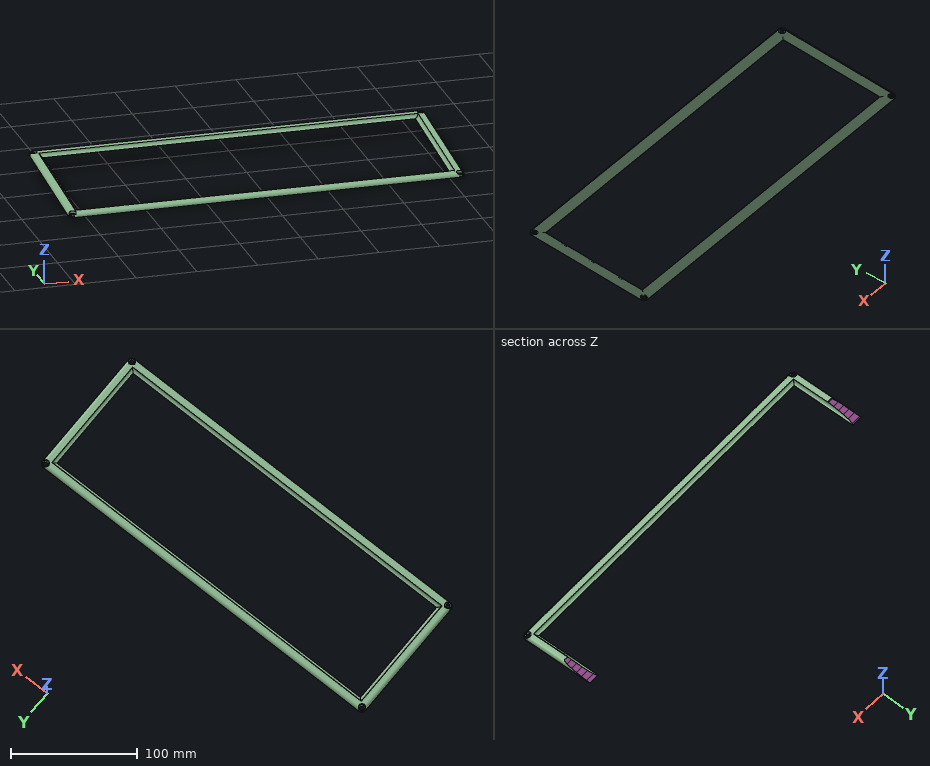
import cadquery as cq
import math

length = 326.2
depth_in_plan = 116.5
tilt = 6.0

thickness = 3.1
bar_width = 10.0
edge_round = 3.03
corner_radius = 4.0
cove_radius = 3.03

hole_diameter = 3.3
seat_diameter = 5.5
seat_depth = 2.3
hole_inset = 3.5

width = depth_in_plan / math.cos(math.radians(tilt))
opening_length = length - 2 * bar_width
opening_width = width - 2 * bar_width


def frame_blank():
    """Plate with rounded corners and a rounded outer top edge."""
    plate = cq.Workplane("XY").rect(length, width).extrude(thickness)
    plate = plate.edges("|Z").fillet(corner_radius)
    return plate.faces(">Z").edges().fillet(edge_round)


def coved_opening():
    """Solid filling the opening, widening upwards along a concave cove with mitred corners."""
    core = cq.Workplane("XY").rect(opening_length, opening_width).extrude(thickness)
    top_length = opening_length + 2 * cove_radius
    top_width = opening_width + 2 * cove_radius
    flare = (
        cq.Workplane("XY", origin=(0, 0, thickness - cove_radius))
        .rect(top_length, top_width)
        .extrude(2 * cove_radius)
        .faces("<Z")
        .edges()
        .fillet(cove_radius)
    )
    return core.union(flare)


def corner_holes():
    """Stepped screw holes through the four corners."""
    spacing = (length - 2 * hole_inset, width - 2 * hole_inset)
    bores = cq.Workplane("XY").rect(*spacing, forConstruction=True).vertices()
    bores = bores.circle(hole_diameter / 2).extrude(thickness)
    seats = cq.Workplane("XY", origin=(0, 0, thickness - seat_depth))
    seats = seats.rect(*spacing, forConstruction=True).vertices()
    return bores.union(seats.circle(seat_diameter / 2).extrude(seat_depth))


frame = frame_blank().cut(coved_opening()).cut(corner_holes())
result = frame.rotate((0, 0, 0), (1, 0, 0), tilt)